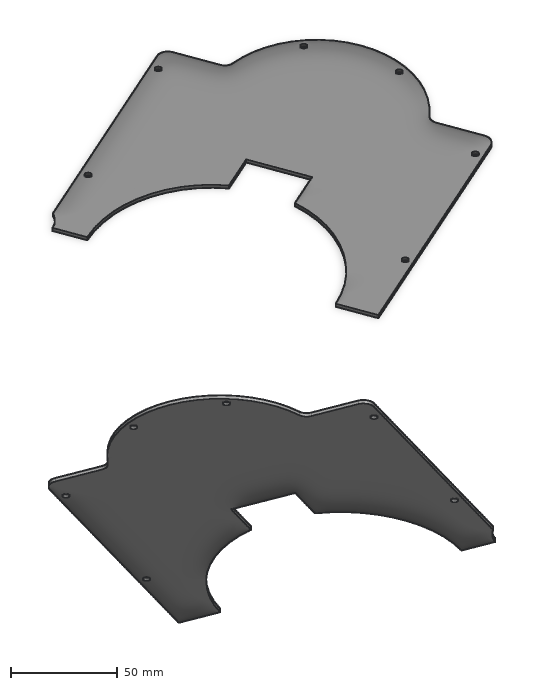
import cadquery as cq

width = 170.0
height = 180.3
thickness = 2.0
shoulder_height = 141.5
shoulder_radius = 5.5

dome_radius = 53.2
dome_center_y = height - dome_radius
neck_fillet = 5.0

arch_radius = 63.3
notch_width = 33.5
notch_top = 81.9

bite_radius = 14.8
bite_inset = 4.0

hole_diameter = 3.5
side_hole_x = 80.8
side_hole_heights = (42.5, 127.5)
dome_hole_x = 24.3
dome_hole_y = 169.5


def disc(radius, x, y):
    return cq.Workplane("XY").center(x, y).circle(radius).extrude(thickness)


def block(block_width, block_height):
    """Plate centred on X = 0, rising from the bottom edge."""
    footprint = (block_width, block_height, thickness)
    return cq.Workplane("XY").box(*footprint, centered=(True, False, False))


def make_outline():
    body = block(width, shoulder_height)
    shoulder_corners = body.edges("|Z").edges(">Y")
    body = shoulder_corners.fillet(shoulder_radius)
    body = body.union(disc(dome_radius, 0, dome_center_y))

    neck_x = (dome_radius**2 - (shoulder_height - dome_center_y) ** 2) ** 0.5
    for side in (-1, 1):
        neck_point = (side * neck_x, shoulder_height, thickness / 2)
        body = body.edges(cq.selectors.NearestToPointSelector(neck_point)).fillet(neck_fillet)
    return body


def cut_openings(body):
    bite_center_x = -width / 2 + bite_inset - bite_radius
    body = body.cut(disc(arch_radius, 0, 0))
    body = body.cut(block(notch_width, notch_top))
    return body.cut(disc(bite_radius, bite_center_x, 0))


def drill_holes(body):
    right_holes = [(side_hole_x, y) for y in side_hole_heights]
    right_holes.append((dome_hole_x, dome_hole_y))
    for x, y in right_holes:
        for side in (-1, 1):
            body = body.cut(disc(hole_diameter / 2, side * x, y))
    return body


result = drill_holes(cut_openings(make_outline()))